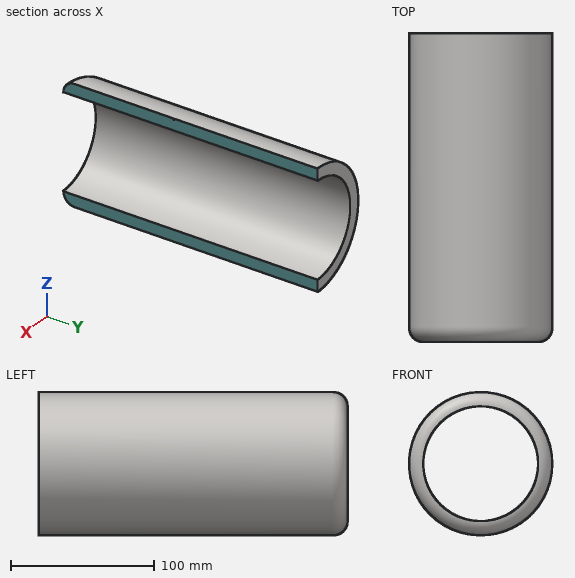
import cadquery as cq
import math

outer_diameter = 100.2
bore_diameter = 80.0
length = 215.75

outer_radius = outer_diameter / 2
bore_radius = bore_diameter / 2
rim_radius = outer_radius - bore_radius


def wall_section():
    """Wall profile in the XY plane: X is the distance from the axis, Y runs along the tube."""
    diagonal_step = rim_radius / math.sqrt(2)
    rim_start = (bore_radius, 0)
    rim_middle = (bore_radius + diagonal_step, rim_radius - diagonal_step)
    rim_end = (outer_radius, rim_radius)
    return (
        cq.Workplane("XY")
        .moveTo(*rim_start)
        .threePointArc(rim_middle, rim_end)
        .lineTo(outer_radius, length)
        .lineTo(bore_radius, length)
        .close()
    )


def tube():
    """Wall profile revolved once around the Y axis."""
    return wall_section().revolve(360, (0, 0, 0), (0, 1, 0))


result = tube()